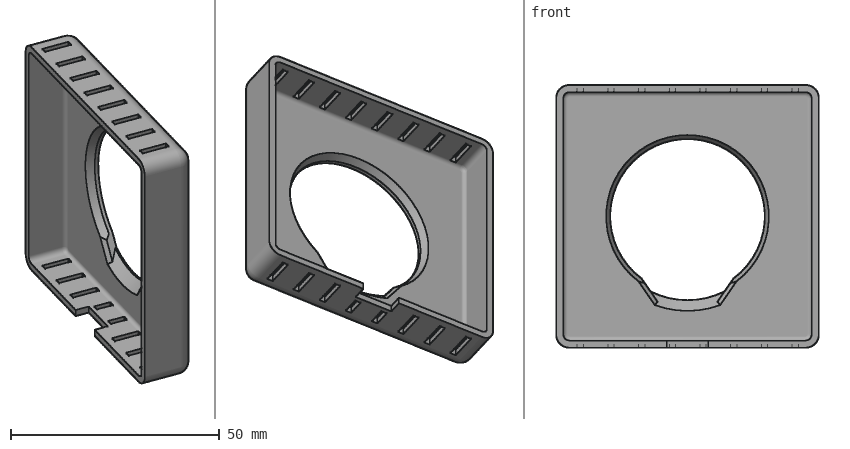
import cadquery as cq
import math

side = 63.0
depth = 13.0
wall = 1.75
plate_thickness = 3.0
outer_radius = 3.2
inner_corner_radius = outer_radius - wall
inner_floor_radius = 1.0
floor_y = depth - plate_thickness

hole_radius = 18.5
hole_mouth_radius = 19.5
hole_flare_depth = 2.0
extension_mouth_radius = 22.65
extension_back_radius = 20.05
extension_flare_depth = extension_mouth_radius - extension_back_radius
wedge_chamfer = 1.0
wedge_chamfer_angle = 45.0
wedge_angle = 34.5
wedge_top_z = -14.0
wedge_top_half_width = 11.6
wedge_bottom_z = -24.0

slot_count = 8
slot_width = 1.5
slot_pitch = 7.36
slot_start_y = 2.0
slot_end_y = 9.0

notch_width = 10.0
notch_depth = 3.5
notch_to_slot = 1.2


def make_shell():
    body = cq.Workplane("XY").box(side, depth, side, centered=(True, False, True))
    body = body.edges("|Y").fillet(outer_radius)
    body = body.faces(">Y").edges().fillet(outer_radius)
    inner_side = side - 2 * wall
    cavity = cq.Workplane("XY").box(inner_side, floor_y, inner_side, centered=(True, False, True))
    cavity = cavity.edges("|Y").fillet(inner_corner_radius)
    cavity = cavity.faces(">Y").edges().fillet(inner_floor_radius)
    return body.cut(cavity)


def make_flared_bore(mouth_radius, back_radius, flare_depth):
    """Solid about the Y axis: a cone narrowing from the plate floor, then a straight bore."""
    cone_end_y = floor_y + flare_depth
    profile = [
        (0, floor_y),
        (mouth_radius, floor_y),
        (back_radius, cone_end_y),
        (back_radius, depth),
        (0, depth),
    ]
    return cq.Workplane("XY").polyline(profile).close().revolve(360, (0, 0, 0), (0, 1, 0))


def make_wedge():
    """Wedge with straight sides through the plate and a chamfer at the floor."""
    narrowing = (wedge_top_z - wedge_bottom_z) * math.tan(math.radians(wedge_angle))
    bottom_half_width = wedge_top_half_width - narrowing
    outline = [
        (-wedge_top_half_width, wedge_top_z),
        (wedge_top_half_width, wedge_top_z),
        (bottom_half_width, wedge_bottom_z),
        (-bottom_half_width, wedge_bottom_z),
    ]
    back_plane = cq.Workplane("XZ", origin=(0, depth, 0))
    throat = back_plane.polyline(outline).close().extrude(plate_thickness)
    chamfer_plane = cq.Workplane("XZ", origin=(0, floor_y + wedge_chamfer, 0))
    chamfer = chamfer_plane.polyline(outline).close().extrude(wedge_chamfer, taper=-wedge_chamfer_angle)
    return throat.union(chamfer)


def make_window():
    hole = make_flared_bore(hole_mouth_radius, hole_radius, hole_flare_depth)
    extension_limit = make_flared_bore(extension_mouth_radius, extension_back_radius, extension_flare_depth)
    return hole.union(make_wedge().intersect(extension_limit))


def make_wall_cutter(x, width, start_y, end_y, wall_z):
    """Box that passes through a horizontal wall centred at wall_z."""
    size = (width, end_y - start_y, 2 * wall)
    return cq.Workplane("XY").box(*size).translate((x, (start_y + end_y) / 2, wall_z))


def cut_wall_openings(body):
    top_wall_z = (side - wall) / 2
    bottom_wall_z = -top_wall_z
    for index in range(slot_count):
        slot_x = (index - (slot_count - 1) / 2) * slot_pitch
        body = body.cut(make_wall_cutter(slot_x, slot_width, slot_start_y, slot_end_y, top_wall_z))
        in_line_with_notch = abs(slot_x) < notch_width / 2
        start_y = notch_depth + notch_to_slot if in_line_with_notch else slot_start_y
        body = body.cut(make_wall_cutter(slot_x, slot_width, start_y, slot_end_y, bottom_wall_z))
    return body.cut(make_wall_cutter(0, notch_width, 0, notch_depth, bottom_wall_z))


result = cut_wall_openings(make_shell().cut(make_window()))